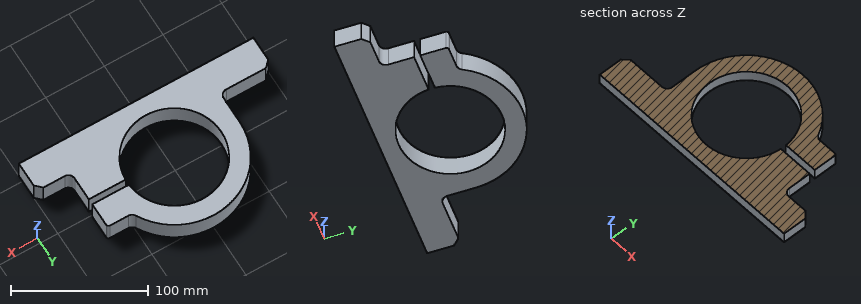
import cadquery as cq
import math

base_length = 200.0
base_height = 26.2
thickness = 20.0
end_chamfer = 5.2

ring_radius = 55.8
bore_radius = 40.0
ring_height = 54.0

ear_end = 71.5
ear_top = 78.0
slot_width = 4.8
ear_corner_radius = 2.0

base_fillet = 5.2
ear_fillet = 5.2


def block(x_min, x_max, y_min, y_max):
    """Full-thickness rectangular block."""
    return (
        cq.Workplane("XY")
        .box(x_max - x_min, y_max - y_min, thickness, centered=False)
        .translate((x_min, y_min, 0))
    )


def disc(radius):
    """Full-thickness disc on the ring axis."""
    return cq.Workplane("XY").center(0, ring_height).circle(radius).extrude(thickness)


def edge_at(x, y):
    """Selector for the thickness-direction edge nearest to a corner."""
    return cq.selectors.NearestToPointSelector((x, y, thickness / 2))


base = block(-base_length / 2, base_length / 2, 0, base_height)
for corner_x in (-base_length / 2, base_length / 2):
    base = base.edges("|Z").edges(edge_at(corner_x, base_height)).chamfer(end_chamfer)

ring_envelope = block(-ring_radius, ring_radius, 0, ring_height + ring_radius)
body = (
    base
    .union(disc(ring_radius).intersect(ring_envelope))
    .union(block(-ring_radius, 0, 0, ring_height))
    .union(block(0, ear_end, 0, ear_top))
)

ear_joint_x = math.sqrt(ring_radius**2 - (ear_top - ring_height) ** 2)
blends = (
    (-ring_radius, base_height, base_fillet),
    (ear_end, base_height, base_fillet),
    (ear_joint_x, ear_top, ear_fillet),
    (ear_end, ear_top, ear_corner_radius),
)
for corner_x, corner_y, radius in blends:
    body = body.edges("|Z").edges(edge_at(corner_x, corner_y)).fillet(radius)

slot = block(0, ear_end, ring_height - slot_width / 2, ring_height + slot_width / 2)
result = body.cut(disc(bore_radius)).cut(slot)